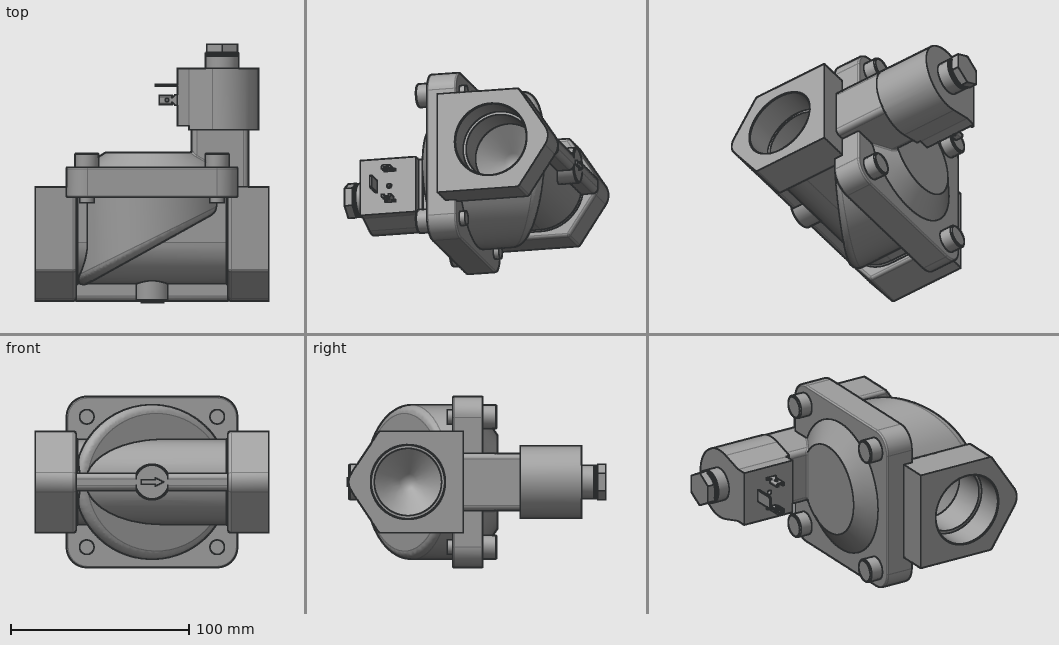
import cadquery as cq
import math


length = 131.0
top_y = 111.0
bottom_y = -34.1
arrow_height = 1.0
boss_y = bottom_y + arrow_height

end_length = 22.9
end_half_width = 28.5
end_top_y = 30.9
end_shoulder_y = -16.1
end_sharp_tip_y = -35.1
end_tip_radius = 9.7
end_corner_radius = 1.7
end_edge_radius = 1.7
end_inner_x = length / 2 - end_length

port_radius = 21.0
port_depth = 17.0
port_chamfer = 0.5
seat_radius = 18.9
seat_length = 20.3
seat_cone_depth = 14.5

tube_radius = 23.9
tube_collar = 0.9
rail_half_width = 5.0
rail_radius = 3.0

bowl_radius = 43.4
bowl_floor_angle = 29.0
bowl_floor_y = -3.3
bowl_edge_radius = 4.8

boss_radius = 10.0
boss_half_length = 8.7
boss_chamfer = 0.6
arrow_tail_x = -6.0
arrow_neck_x = 1.9
arrow_tip_x = 6.7
arrow_shaft_half = 1.2
arrow_head_half = 2.3

flange_side = 96.0
flange_bottom_y = 25.1
flange_top_y = 42.0
flange_corner_radius = 11.6
flange_edge_radius = 0.9
cover_base_radius = 38.6
cover_top_radius = 26.1
cover_top_y = 50.3

screw_offset = 36.5
screw_head_radius = 6.7
screw_head_top_y = 49.9
screw_head_chamfer = 0.7
screw_shank_radius = 4.0
screw_end_y = 21.9

pilot_x = 38.1
pilot_size = 32.0
pilot_corner_radius = 3.0
pilot_foot_radius = 0.9

coil_x = 39.3
coil_radius = 20.5
coil_bottom_y = 63.0
coil_top_y = 97.3
coil_front_x = 20.7
coil_front_half_width = 16.0
socket_front_x = 14.2
socket_bottom_y = 65.1

collar_radius = 9.4
collar_top_y = 106.3
collar_chamfer = 0.6
collar_groove_y = 104.3
collar_groove_width = 0.7
collar_groove_depth = 0.5
nut_across_flats = 17.4

blade_thickness = 1.0
earth_y = 87.9
earth_tip_x = 1.9
earth_half_width = 3.5
earth_tip_chamfer = 0.6
contact_y = 79.6
contact_z = 9.0
contact_tip_x = 4.0
contact_neck_x = 11.3
contact_foot_x = 13.0
contact_half_width = 2.6
contact_neck_half = 1.3
contact_foot_half = 3.0
contact_curl_depth = 2.0
contact_curl_radius = 1.2
contact_hole_x = 8.4
contact_hole_radius = 0.9
socket_screw_y = 80.5
socket_screw_radius = 1.3
socket_screw_depth = 4.4


def plane_at(y):
    """Workplane at height y with local axes X and Z; it extrudes toward -Y."""
    return cq.Workplane("XZ", origin=(0, y, 0))


def cylinder_y(x, z, radius, low_y, high_y):
    return plane_at(high_y).center(x, z).circle(radius).extrude(high_y - low_y)


def box_between(x_range, y_range, z_range):
    low = cq.Vector(x_range[0], y_range[0], z_range[0])
    size = cq.Vector(x_range[1], y_range[1], z_range[1]) - low
    return cq.Workplane("XY").box(size.x, size.y, size.z, centered=False).translate(low)


def mirrored_in_x(shape):
    return shape.union(shape.mirror("YZ"))


def make_end():
    """Five-sided pipe end on the -X side, with all inner edges but the top rounded."""
    outline = [
        (end_top_y, -end_half_width),
        (end_shoulder_y, -end_half_width),
        (end_sharp_tip_y, 0),
        (end_shoulder_y, end_half_width),
        (end_top_y, end_half_width),
    ]
    end = cq.Workplane("YZ", origin=(-length / 2, 0, 0)).polyline(outline).close().extrude(end_length)
    end = end.edges("|X and <Y").fillet(end_tip_radius)
    margin = end_corner_radius / 2
    corners = cq.selectors.BoxSelector(
        (-length, end_shoulder_y - margin, -end_half_width - margin),
        (length, end_shoulder_y + margin, end_half_width + margin),
    )
    end = end.edges("|X").edges(corners).fillet(end_corner_radius)
    return end.faces(">X").edges("not >Y").fillet(end_edge_radius)


def tube_profile(x):
    """U-shaped tube section: half round below the bore axis, straight walls above it."""
    return (
        cq.Workplane("YZ", origin=(x, 0, 0))
        .moveTo(flange_bottom_y, -tube_radius)
        .lineTo(0, -tube_radius)
        .threePointArc((-tube_radius, 0), (0, tube_radius))
        .lineTo(flange_bottom_y, tube_radius)
        .close()
    )


def make_tube():
    tube = tube_profile(-end_inner_x).extrude(2 * end_inner_x)
    collar = (
        tube_profile(-end_inner_x)
        .offset2D(tube_collar)
        .extrude(tube_collar, taper=45)
        .intersect(box_between((-length, length), (-length, flange_bottom_y), (-length, length)))
    )
    return tube.union(mirrored_in_x(collar))


def make_rail():
    rail = box_between((-end_inner_x, end_inner_x), (boss_y, 0), (-rail_half_width, rail_half_width))
    return rail.edges("|X and <Y").fillet(rail_radius)


def make_bowl():
    """Vertical cylinder cut off by a slanted floor, with a rounded rim."""
    slope = math.tan(math.radians(bowl_floor_angle))
    reach = 2 * bowl_radius
    below_floor = (
        cq.Workplane("XY", origin=(0, 0, -reach))
        .moveTo(-reach, bowl_floor_y - reach * slope)
        .lineTo(reach, bowl_floor_y + reach * slope)
        .lineTo(reach, -2 * reach)
        .lineTo(-reach, -2 * reach)
        .close()
        .extrude(2 * reach)
    )
    bowl = cylinder_y(0, 0, bowl_radius, -reach, flange_bottom_y).cut(below_floor)
    return bowl.faces("<Y").edges().fillet(bowl_edge_radius)


def make_boss():
    """Marker boss with flattened sides, carrying the flow arrow."""
    boss = cylinder_y(0, 0, boss_radius, boss_y, 0).faces("<Y").chamfer(boss_chamfer)
    sides = (-boss_half_length, boss_half_length)
    boss = boss.intersect(box_between(sides, (boss_y, 0), (-boss_radius, boss_radius)))
    arrow = (
        plane_at(boss_y)
        .polyline([
            (arrow_tail_x, -arrow_shaft_half),
            (arrow_neck_x, -arrow_shaft_half),
            (arrow_neck_x, -arrow_head_half),
            (arrow_tip_x, 0),
            (arrow_neck_x, arrow_head_half),
            (arrow_neck_x, arrow_shaft_half),
            (arrow_tail_x, arrow_shaft_half),
        ])
        .close()
        .extrude(arrow_height)
    )
    return boss.union(arrow)


def make_flange():
    flange = plane_at(flange_top_y).rect(flange_side, flange_side).extrude(flange_top_y - flange_bottom_y)
    flange = flange.edges("|Y").fillet(flange_corner_radius)
    return flange.faces("<Y or >Y").edges().fillet(flange_edge_radius)


def make_cover():
    half_section = [
        (0, flange_top_y),
        (cover_base_radius, flange_top_y),
        (cover_top_radius, cover_top_y),
        (0, cover_top_y),
    ]
    return cq.Workplane("XY").polyline(half_section).close().revolve(360, (0, 0, 0), (0, 1, 0))


def make_screw(x, z):
    head = cylinder_y(x, z, screw_head_radius, flange_top_y, screw_head_top_y)
    head = head.faces(">Y").chamfer(screw_head_chamfer)
    return head.union(cylinder_y(x, z, screw_shank_radius, screw_end_y, flange_top_y))


def make_pilot_block():
    block = plane_at(coil_bottom_y).center(pilot_x, 0).rect(pilot_size, pilot_size)
    return block.extrude(coil_bottom_y - end_top_y).edges("|Y").fillet(pilot_corner_radius)


def make_cover_with_pilot():
    """Cover and pilot block, with a fillet where the block rises from the cover."""
    joined = make_cover().union(make_pilot_block())
    margin = 0.1
    half = pilot_size / 2 + margin
    joint = cq.selectors.BoxSelector(
        (pilot_x - half, flange_top_y + margin, -half),
        (cover_base_radius, cover_top_y + margin, half),
    )
    return joined.edges(joint).fillet(pilot_foot_radius)


def make_coil():
    """Round coil with flats running tangentially to a narrower front, plus its plug socket."""
    corner_dx = coil_front_x - coil_x
    corner_distance = math.hypot(corner_dx, coil_front_half_width)
    corner_angle = math.atan2(coil_front_half_width, corner_dx)
    touch_angle = corner_angle - math.acos(coil_radius / corner_distance)
    touch_x = coil_x + coil_radius * math.cos(touch_angle)
    touch_z = coil_radius * math.sin(touch_angle)
    coil = (
        plane_at(coil_top_y)
        .moveTo(coil_front_x, -coil_front_half_width)
        .lineTo(touch_x, -touch_z)
        .threePointArc((coil_x + coil_radius, 0), (touch_x, touch_z))
        .lineTo(coil_front_x, coil_front_half_width)
        .close()
        .extrude(coil_top_y - coil_bottom_y)
    )
    socket = box_between(
        (socket_front_x, coil_front_x),
        (socket_bottom_y, coil_top_y),
        (-coil_front_half_width, coil_front_half_width),
    )
    screw_hole = (
        cq.Workplane("YZ", origin=(socket_front_x, 0, 0))
        .center(socket_screw_y, 0)
        .circle(socket_screw_radius)
        .extrude(socket_screw_depth)
    )
    return coil.union(socket.cut(screw_hole))


def make_coil_nut():
    collar = cylinder_y(coil_x, 0, collar_radius, coil_top_y, collar_top_y)
    collar = collar.faces(">Y").chamfer(collar_chamfer)
    groove_top_y = collar_groove_y + collar_groove_width
    groove = cylinder_y(coil_x, 0, collar_radius, collar_groove_y, groove_top_y)
    groove = groove.cut(
        cylinder_y(coil_x, 0, collar_radius - collar_groove_depth, collar_groove_y, groove_top_y)
    )
    across_corners = nut_across_flats / math.cos(math.radians(30))
    nut = (
        plane_at(top_y)
        .center(coil_x, 0)
        .transformed(rotate=(0, 0, 90))
        .polygon(6, across_corners)
        .extrude(top_y - collar_top_y)
    )
    return collar.cut(groove).union(nut)


def make_earth_blade():
    half = blade_thickness / 2
    blade = box_between(
        (earth_tip_x, socket_front_x),
        (earth_y - half, earth_y + half),
        (-earth_half_width, earth_half_width),
    )
    return blade.edges("<X and |Y").chamfer(earth_tip_chamfer)


def make_contact():
    """Contact on the +Z side: blade with curled edges and a hole, flat neck and foot."""
    outer_z = contact_z + blade_thickness / 2
    inner_z = contact_z - blade_thickness / 2
    curl_z = outer_z - contact_curl_depth
    blade_x = (contact_tip_x, contact_neck_x)
    blade = box_between(
        blade_x,
        (contact_y - contact_half_width, contact_y + contact_half_width),
        (curl_z, outer_z),
    )
    blade = blade.edges("|X and >Z").fillet(contact_curl_radius)
    blade = blade.cut(box_between(
        blade_x,
        (contact_y - contact_neck_half, contact_y + contact_neck_half),
        (curl_z, inner_z),
    ))
    outline = [
        (contact_tip_x, contact_neck_half),
        (contact_neck_x, contact_neck_half),
        (contact_foot_x, contact_foot_half),
        (socket_front_x, contact_foot_half),
    ]
    plate = (
        cq.Workplane("XY", origin=(0, contact_y, inner_z))
        .polyline(outline + [(x, -y) for x, y in reversed(outline)])
        .close()
        .extrude(blade_thickness)
    )
    hole = (
        cq.Workplane("XY", origin=(contact_hole_x, contact_y, inner_z))
        .circle(contact_hole_radius)
        .extrude(blade_thickness)
    )
    return blade.union(plate).cut(hole)


def make_port():
    """Stepped bore entering from -X and ending in a cone."""
    face_x = -length / 2
    shoulder_x = face_x + port_depth
    cone_x = shoulder_x + seat_length
    half_section = [
        (face_x, 0),
        (face_x, port_radius),
        (face_x + port_chamfer, port_radius - port_chamfer),
        (shoulder_x, port_radius - port_chamfer),
        (shoulder_x, seat_radius),
        (cone_x, seat_radius),
        (cone_x + seat_cone_depth, 0),
    ]
    return cq.Workplane("XY").polyline(half_section).close().revolve(360, (0, 0, 0), (1, 0, 0))


result = mirrored_in_x(make_end())
for casting in (make_tube(), make_rail(), make_bowl(), make_boss(), make_flange(), make_cover_with_pilot()):
    result = result.union(casting)
for x_side in (-1, 1):
    for z_side in (-1, 1):
        result = result.union(make_screw(x_side * screw_offset, z_side * screw_offset))
contact = make_contact()
for electrical in (
    make_coil(),
    make_coil_nut(),
    make_earth_blade(),
    contact,
    contact.mirror("XY"),
):
    result = result.union(electrical)

port = make_port()
result = result.cut(port).cut(port.mirror("YZ"))